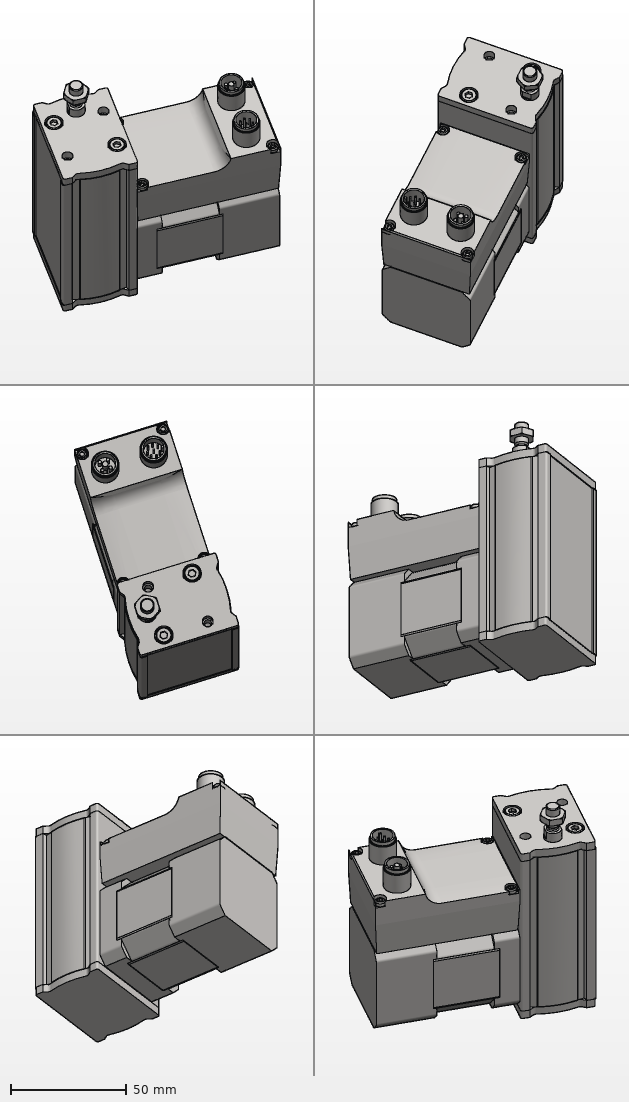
import cadquery as cq
import math


TOTAL_HEIGHT = 104.2

HALF_WIDTH = 22.5
PLATE_HALF_DEPTH = 16.9
CORNER_RADIUS = 0.9
PAD_STEP = 0.4
PANEL_STEP = 0.4
PANEL_HALF_WIDTH = 19.3
SIDE_FLAT_END = 12.8
SIDE_ARC_END = 9.2
PLATE_BULGE = 22.2
PLATE_WAIST = 21.0
PLATE_SLANT_END = (21.5, 11.4)
PLATE_GROOVE_MIDDLE = (20.9, 10.2)
PROFILE_GROOVE_FLOOR = (20.4, 12.3)
PROFILE_GROOVE_RISE = (21.0, 9.3)
PROFILE_LIP = (21.5, 8.9)

PLATE_THICKNESS = 4.0
PLATE_TOP = 87.5
PROFILE_TOP = PLATE_TOP - PLATE_THICKNESS

HOLE_X = 10.0
HOLE_Y = 11.3
MOUNT_HOLE_DIAMETER = 4.7
MOUNT_CORE_DIAMETER = 3.2
MOUNT_CORE_DEPTH = 6.3
DRILL_TIP_HEIGHT = 0.9
COUNTERBORE_DIAMETER = 8.0
CAP_HEAD_DIAMETER = 7.0
CAP_HEAD_HEIGHT = 3.0
CAP_HEAD_CHAMFER = 0.4
CAP_SHANK_DIAMETER = 4.0
CAP_SHANK_LENGTH = 6.3
CAP_HEX = 3.0
CAP_HEX_DEPTH = 1.6

ROD_X = -14.0
ROD_DIAMETER = 8.0
ROD_FLATS = 7.0
ROD_FLATS_START = PLATE_TOP + 1.0
ROD_SHOULDER = 92.2
NECK_FOOT_DIAMETER = 5.5
NECK_FOOT_HEIGHT = 0.5
NECK_DIAMETER = 4.5
THREAD_DIAMETER = 6.0
THREAD_START = 93.8
THREAD_CHAMFER = 0.4
THREAD_RUNOUT = 0.7
NUT_FLATS = 10.0
NUT_HEIGHT = 3.2
NUT_TOP = 100.3
NUT_CHAMFER = 0.5

MOTOR_FRONT = PLATE_HALF_DEPTH
MOTOR_BACK = 81.8
MOTOR_HALF = 20.8
MOTOR_CENTRE_Z = 25.1
MOTOR_CHAMFER = 4.0
MOTOR_EDGE_RADIUS = 1.7
STACK_FRONT = 28.4
STACK_BACK = 54.4
STACK_CHAMFER = 7.5
BAND_FRONT = 26.0
BAND_BACK = 56.0
BAND_HALF = 13.0
BAND_STEP = 0.3
BAND_EDGE_WIDTH = 0.7

BOX_BACK = 82.2
BOX_HALF_WIDTH = 20.9
BOX_BOTTOM = MOTOR_CENTRE_Z + MOTOR_HALF
BOX_SPLIT = 61.5
BOX_DRAFT_STEP = 0.7
BOX_TOP = 73.8
DECK_TOP = 68.3
DECK_FALL = 0.7
DECK_STRIP_HALF = 10.4
SCOOP_START = 52.1
SCOOP_RADIUS = 6.9
SCOOP_EDGE = 59.6
SCOOP_BEVEL_ANGLE = 53.0
SCOOP_BEVEL_DROP = 2.1
END_BEVEL = 0.6

COVER_SCREW_X = 18.4
COVER_SCREW_FRONT = 20.1
COVER_SCREW_BACK = 79.4
COVER_POCKET_DIAMETER = 5.5
COVER_POCKET_OPENING = 4.2
COVER_OPENING_SHIFT = 0.5
COVER_POCKET_FLOOR_BACK = 70.9
COVER_POCKET_FLOOR_FRONT = 65.9
COVER_HEAD_DIAMETER = 4.5
COVER_HEAD_HEIGHT = 2.1
COVER_HEAD_CHAMFER = 0.5
COVER_HEX = 2.0
COVER_HEX_DEPTH = 1.3

PLUG_X = 11.0
PLUG_Y = 69.6
PLUG_DIAMETER = 12.0
PLUG_TIP_DIAMETER = 10.7
PLUG_BORE_DIAMETER = 9.1
PLUG_TOP = 85.3
PLUG_SHOULDER = 83.6
PLUG_SHOULDER_BEVEL = 0.3
PLUG_FLOOR = 77.1
PIN_TOP = 82.8
POWER_PIN_DIAMETER = 1.5
POWER_PIN_OFFSET = 1.9
POWER_POST_DIAMETER = 2.5
POWER_POST_TOP = 84.6
POWER_KEY_DIAMETER = 0.8
POWER_KEY_OFFSET = 2.3
SIGNAL_PIN_DIAMETER = 0.8
SIGNAL_PIN_RADIUS = 2.8
SIGNAL_PIN_COUNT = 7
SIGNAL_PIN_PITCH = 49.0
SIGNAL_KEY_WIDTH = 1.0
SIGNAL_KEY_HEIGHT = 1.0
SIGNAL_KEY_ROOT = 0.1


def cylinder(x, y, bottom, top, diameter):
    return cq.Workplane("XY", origin=(x, y, bottom)).circle(diameter / 2).extrude(top - bottom)


def block(x0, x1, y0, y1, z0, z1):
    return cq.Workplane("XY").box(x1 - x0, y1 - y0, z1 - z0, centered=False).translate((x0, y0, z0))


def hexagon(x, y, bottom, height, across_flats, turn=0):
    corner_diameter = across_flats / math.cos(math.radians(30))
    prism = cq.Workplane("XY").polygon(6, corner_diameter).extrude(height)
    return prism.rotate((0, 0, 0), (0, 0, 1), turn).translate((x, y, bottom))


def with_mirror_image(half):
    """A half that ends at X = 0, joined to its mirror image."""
    return half.union(half.mirror("YZ"))


def round_corners(half):
    """Round the front and back corners of the flank of a half section."""
    flank_edges = half.edges("|Z").edges(">X")
    return flank_edges.edges("<Y or >Y").fillet(CORNER_RADIUS)




def end_plate(bottom):
    slant_x, slant_y = PLATE_SLANT_END
    groove_x, groove_y = PLATE_GROOVE_MIDDLE
    half = (
        cq.Workplane("XY", origin=(0, 0, bottom))
        .moveTo(0, -PLATE_HALF_DEPTH)
        .lineTo(HALF_WIDTH, -PLATE_HALF_DEPTH)
        .lineTo(HALF_WIDTH, -SIDE_FLAT_END)
        .lineTo(slant_x, -slant_y)
        .threePointArc((groove_x, -groove_y), (PLATE_WAIST, -SIDE_ARC_END))
        .threePointArc((PLATE_BULGE, 0), (PLATE_WAIST, SIDE_ARC_END))
        .threePointArc((groove_x, groove_y), (slant_x, slant_y))
        .lineTo(HALF_WIDTH, SIDE_FLAT_END)
        .lineTo(HALF_WIDTH, PLATE_HALF_DEPTH)
        .lineTo(0, PLATE_HALF_DEPTH)
        .close()
        .extrude(PLATE_THICKNESS)
    )
    return with_mirror_image(round_corners(half))


def top_plate():
    plate = end_plate(PROFILE_TOP)
    for side in (-1, 1):
        x, y = side * HOLE_X, side * HOLE_Y
        plate = plate.cut(cylinder(-x, y, PROFILE_TOP, PLATE_TOP, MOUNT_HOLE_DIAMETER))
        plate = plate.cut(cylinder(x, y, PLATE_TOP - CAP_HEAD_HEIGHT, PLATE_TOP, COUNTERBORE_DIAMETER))
        plate = plate.cut(cylinder(x, y, PROFILE_TOP, PLATE_TOP, CAP_SHANK_DIAMETER))
    return plate.cut(cylinder(ROD_X, 0, PROFILE_TOP, PLATE_TOP, ROD_DIAMETER))


def profile():
    front = -PLATE_HALF_DEPTH - PAD_STEP
    floor_x, floor_y = PROFILE_GROOVE_FLOOR
    rise_x, rise_y = PROFILE_GROOVE_RISE
    lip_x, lip_y = PROFILE_LIP
    panel = -PLATE_HALF_DEPTH + PANEL_STEP
    half = (
        cq.Workplane("XY", origin=(0, 0, PLATE_THICKNESS))
        .moveTo(0, panel)
        .lineTo(PANEL_HALF_WIDTH, panel)
        .lineTo(PANEL_HALF_WIDTH, front)
        .lineTo(HALF_WIDTH, front)
        .lineTo(HALF_WIDTH, -SIDE_FLAT_END)
        .lineTo(floor_x, -floor_y)
        .lineTo(rise_x, -rise_y)
        .lineTo(lip_x, -lip_y)
        .threePointArc((HALF_WIDTH, 0), (lip_x, lip_y))
        .lineTo(rise_x, rise_y)
        .lineTo(floor_x, floor_y)
        .lineTo(HALF_WIDTH, SIDE_FLAT_END)
        .lineTo(HALF_WIDTH, PLATE_HALF_DEPTH)
        .lineTo(0, PLATE_HALF_DEPTH)
        .close()
        .extrude(PROFILE_TOP - PLATE_THICKNESS)
    )
    body = with_mirror_image(round_corners(half))
    core_bottom = PROFILE_TOP - MOUNT_CORE_DEPTH
    for side in (-1, 1):
        x, y = side * HOLE_X, side * HOLE_Y
        drill_tip = cq.Solid.makeCone(
            0, MOUNT_CORE_DIAMETER / 2, DRILL_TIP_HEIGHT, pnt=cq.Vector(-x, y, core_bottom - DRILL_TIP_HEIGHT)
        )
        body = body.cut(cylinder(-x, y, core_bottom, PROFILE_TOP, MOUNT_CORE_DIAMETER))
        body = body.cut(cq.Workplane(drill_tip))
        body = body.cut(cylinder(x, y, PROFILE_TOP - CAP_SHANK_LENGTH, PROFILE_TOP, CAP_SHANK_DIAMETER))
    return body


def cap_screw(x, y):
    head = cylinder(x, y, PLATE_TOP - CAP_HEAD_HEIGHT, PLATE_TOP, CAP_HEAD_DIAMETER)
    head = head.faces(">Z").chamfer(CAP_HEAD_CHAMFER)
    shank = cylinder(x, y, PROFILE_TOP - CAP_SHANK_LENGTH, PLATE_TOP - CAP_HEAD_HEIGHT, CAP_SHANK_DIAMETER)
    return head.union(shank).cut(hexagon(x, y, PLATE_TOP - CAP_HEX_DEPTH, CAP_HEX_DEPTH, CAP_HEX))


def piston_rod():
    shaft = cylinder(ROD_X, 0, PROFILE_TOP, ROD_SHOULDER, ROD_DIAMETER)
    for side in (-1, 1):
        near = side * ROD_FLATS / 2
        far = side * ROD_DIAMETER
        flat = block(
            ROD_X - ROD_DIAMETER, ROD_X + ROD_DIAMETER, min(near, far), max(near, far),
            ROD_FLATS_START, ROD_SHOULDER,
        )
        shaft = shaft.cut(flat)
    neck = cylinder(ROD_X, 0, ROD_SHOULDER, THREAD_START, NECK_DIAMETER)
    neck_foot = cq.Solid.makeCone(
        NECK_FOOT_DIAMETER / 2, NECK_DIAMETER / 2, NECK_FOOT_HEIGHT, pnt=cq.Vector(ROD_X, 0, ROD_SHOULDER)
    )
    thread = cylinder(ROD_X, 0, THREAD_START, TOTAL_HEIGHT, THREAD_DIAMETER)
    thread = thread.faces(">Z").chamfer(THREAD_CHAMFER).faces("<Z").chamfer(THREAD_RUNOUT)
    return shaft.union(neck).union(cq.Workplane(neck_foot)).union(thread)


def nut():
    bottom = NUT_TOP - NUT_HEIGHT
    corner_diameter = NUT_FLATS / math.cos(math.radians(30))
    envelope = cylinder(ROD_X, 0, bottom, NUT_TOP, corner_diameter).faces("<Z or >Z").chamfer(
        NUT_CHAMFER / 2, NUT_CHAMFER
    )
    body = hexagon(ROD_X, 0, bottom, NUT_HEIGHT, NUT_FLATS, turn=30).intersect(envelope)
    return body.cut(cylinder(ROD_X, 0, bottom, NUT_TOP, THREAD_DIAMETER))


def motor_length(y0, y1, corner_cut):
    """Octagonal length of the motor between two Y positions, still with sharp edges."""
    side = 2 * MOTOR_HALF
    low = MOTOR_CENTRE_Z - MOTOR_HALF
    return block(-MOTOR_HALF, MOTOR_HALF, y0, y1, low, low + side).edges("|Y").chamfer(corner_cut)


def motor_block():
    ends = motor_length(MOTOR_FRONT, MOTOR_BACK, MOTOR_CHAMFER)
    ends = ends.edges("|Y").edges("<X or >X").fillet(MOTOR_EDGE_RADIUS)
    stack = motor_length(STACK_FRONT, STACK_BACK, STACK_CHAMFER).edges("|Y").fillet(MOTOR_EDGE_RADIUS)
    reach = 2 * MOTOR_HALF
    stack_space = block(
        -reach, reach, STACK_FRONT, STACK_BACK, MOTOR_CENTRE_Z - reach, MOTOR_CENTRE_Z + reach
    )
    body = ends.cut(stack_space).union(stack)
    outer = MOTOR_HALF + BAND_STEP
    pads = block(-outer, outer, BAND_FRONT, BAND_BACK, -BAND_HALF, BAND_HALF)
    pads = pads.edges("|Y").chamfer(BAND_EDGE_WIDTH, BAND_STEP)
    body = body.union(pads.translate((0, 0, MOTOR_CENTRE_Z)))
    bottom_pad = pads.rotate((0, 0, 0), (0, 1, 0), 90).intersect(
        block(-outer, outer, BAND_FRONT, BAND_BACK, -outer, 0)
    )
    return body.union(bottom_pad.translate((0, 0, MOTOR_CENTRE_Z)))


def deck_space_section():
    """Space above the crowned deck, up to the axis of the scoop."""
    scoop_axis = DECK_TOP + SCOOP_RADIUS
    return (
        cq.Workplane("XZ", origin=(0, SCOOP_START, 0))
        .moveTo(-BOX_HALF_WIDTH, DECK_TOP - DECK_FALL)
        .threePointArc(crown_middle(-1), (-DECK_STRIP_HALF, DECK_TOP))
        .lineTo(DECK_STRIP_HALF, DECK_TOP)
        .threePointArc(crown_middle(1), (BOX_HALF_WIDTH, DECK_TOP - DECK_FALL))
        .lineTo(BOX_HALF_WIDTH, scoop_axis)
        .lineTo(-BOX_HALF_WIDTH, scoop_axis)
        .close()
    )


def crown_middle(side):
    """Middle point of the arc that falls from the flat strip, tangent to it, to the side."""
    return (side * (DECK_STRIP_HALF + BOX_HALF_WIDTH) / 2, DECK_TOP - DECK_FALL / 4)


def electronics_box():
    length = BOX_BACK - MOTOR_FRONT
    middle = (BOX_BACK + MOTOR_FRONT) / 2
    width = 2 * BOX_HALF_WIDTH
    cover = block(-BOX_HALF_WIDTH, BOX_HALF_WIDTH, MOTOR_FRONT, BOX_BACK, BOX_SPLIT, BOX_TOP)
    draft = math.degrees(math.atan(BOX_DRAFT_STEP / (BOX_SPLIT - BOX_BOTTOM)))
    base = (
        cq.Workplane("XY", origin=(0, middle, BOX_SPLIT))
        .rect(width, length)
        .extrude(BOX_BOTTOM - BOX_SPLIT, taper=draft)
    )
    box = cover.edges("|X and >Y and >Z").chamfer(END_BEVEL).union(base)
    box = box.cut(deck_space_section().extrude(SCOOP_START - MOTOR_FRONT))
    scoop_axis = DECK_TOP + SCOOP_RADIUS
    scoop = deck_space_section().revolve(90, (-1, scoop_axis, 0), (1, scoop_axis, 0))
    box = box.cut(scoop)
    bevel_bottom = BOX_TOP - SCOOP_BEVEL_DROP
    bevel_run = SCOOP_BEVEL_DROP / math.tan(math.radians(SCOOP_BEVEL_ANGLE))
    bevel = (
        cq.Workplane("YZ", origin=(-BOX_HALF_WIDTH, 0, 0))
        .polyline([
            (SCOOP_EDGE, BOX_TOP),
            (SCOOP_EDGE - bevel_run, bevel_bottom),
            (SCOOP_START, bevel_bottom),
            (SCOOP_START, BOX_TOP),
        ])
        .close()
        .extrude(width)
    )
    front_bevel = (
        cq.Workplane("YZ", origin=(-BOX_HALF_WIDTH, 0, 0))
        .polyline([
            (MOTOR_FRONT, DECK_TOP),
            (MOTOR_FRONT + END_BEVEL, DECK_TOP),
            (MOTOR_FRONT, DECK_TOP - END_BEVEL),
        ])
        .close()
        .extrude(width)
    )
    return box.cut(bevel).cut(front_bevel)


def add_cover_screws(box):
    """Cut the four corner pockets, open to the flanks, and set a screw head in each."""
    half_opening = COVER_POCKET_OPENING / 2
    middle = (MOTOR_FRONT + BOX_BACK) / 2
    floors = {COVER_SCREW_FRONT: COVER_POCKET_FLOOR_FRONT, COVER_SCREW_BACK: COVER_POCKET_FLOOR_BACK}
    for y, floor in floors.items():
        head_top = floor + COVER_HEAD_HEIGHT
        opening_y = y + math.copysign(COVER_OPENING_SHIFT, y - middle)
        for side in (-1, 1):
            x = side * COVER_SCREW_X
            flank = side * BOX_HALF_WIDTH
            head = cylinder(x, y, floor, head_top, COVER_HEAD_DIAMETER)
            head = head.faces(">Z").chamfer(COVER_HEAD_CHAMFER)
            head = head.cut(hexagon(x, y, head_top - COVER_HEX_DEPTH, COVER_HEX_DEPTH, COVER_HEX))
            pocket = cylinder(x, y, floor, BOX_TOP, COVER_POCKET_DIAMETER)
            opening = block(
                min(x, flank), max(x, flank),
                opening_y - half_opening, opening_y + half_opening,
                floor, BOX_TOP,
            )
            box = box.cut(pocket).cut(opening).union(head)
    return box


def plug_shell(x):
    shell = cylinder(x, PLUG_Y, BOX_TOP, PLUG_SHOULDER, PLUG_DIAMETER)
    shell = shell.faces(">Z").chamfer(PLUG_SHOULDER_BEVEL)
    shell = shell.union(cylinder(x, PLUG_Y, PLUG_SHOULDER, PLUG_TOP, PLUG_TIP_DIAMETER))
    return shell.cut(cylinder(x, PLUG_Y, PLUG_FLOOR, PLUG_TOP, PLUG_BORE_DIAMETER))


def power_plug():
    plug = plug_shell(-PLUG_X)
    plug = plug.union(cylinder(-PLUG_X, PLUG_Y, PLUG_FLOOR, POWER_POST_TOP, POWER_POST_DIAMETER))
    for dx in (-POWER_PIN_OFFSET, POWER_PIN_OFFSET):
        for dy in (-POWER_PIN_OFFSET, POWER_PIN_OFFSET):
            plug = plug.union(cylinder(dx - PLUG_X, PLUG_Y + dy, PLUG_FLOOR, PIN_TOP, POWER_PIN_DIAMETER))
    return plug.union(
        cylinder(-PLUG_X, PLUG_Y - POWER_KEY_OFFSET, PLUG_FLOOR, PIN_TOP, POWER_KEY_DIAMETER)
    )


def signal_plug():
    plug = plug_shell(PLUG_X)
    plug = plug.union(cylinder(PLUG_X, PLUG_Y, PLUG_FLOOR, PIN_TOP, SIGNAL_PIN_DIAMETER))
    for i in range(SIGNAL_PIN_COUNT):
        angle = math.radians(180 + (i - SIGNAL_PIN_COUNT // 2) * SIGNAL_PIN_PITCH)
        x = PLUG_X + SIGNAL_PIN_RADIUS * math.cos(angle)
        y = PLUG_Y + SIGNAL_PIN_RADIUS * math.sin(angle)
        plug = plug.union(cylinder(x, y, PLUG_FLOOR, PIN_TOP, SIGNAL_PIN_DIAMETER))
    bore_edge = PLUG_X + PLUG_BORE_DIAMETER / 2
    half_key = SIGNAL_KEY_WIDTH / 2
    key = block(
        bore_edge - SIGNAL_KEY_HEIGHT, bore_edge + SIGNAL_KEY_ROOT,
        PLUG_Y - half_key, PLUG_Y + half_key,
        PLUG_FLOOR, PLUG_SHOULDER,
    )
    return plug.union(key)


def motor():
    box = add_cover_screws(electronics_box())
    return motor_block().union(box).union(power_plug()).union(signal_plug())


cap_screws = [cap_screw(side * HOLE_X, side * HOLE_Y) for side in (-1, 1)]

result = cq.Compound.makeCompound([
    profile().val(),
    end_plate(0).val(),
    top_plate().val(),
    *[screw.val() for screw in cap_screws],
    piston_rod().val(),
    nut().val(),
    motor().val(),
])